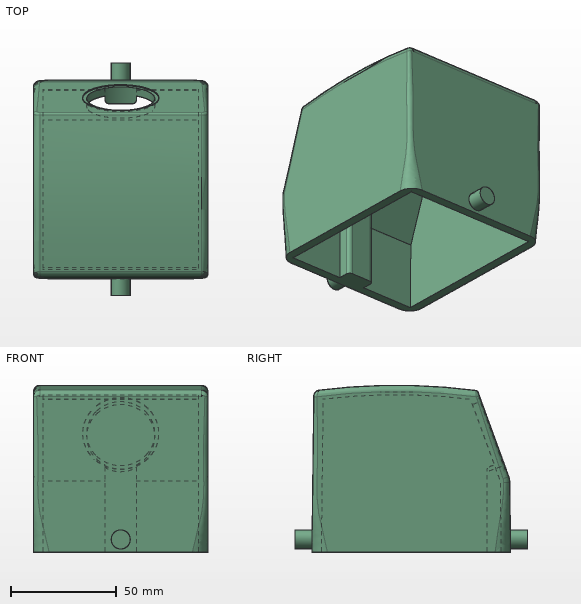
import math

import cadquery as cq

BODY_WIDTH = 82.5
BODY_DEPTH = 94.0
BODY_HEIGHT = 79.0
WALL = 4.5
DRAFT = math.radians(0.7)

ROOF_RADIUS = 290.0
ROOF_CREST_Y = -7.0

KNEE_Z = 34.5
SLOPE = math.radians(20.0)

ROOF_FILLET = 3.0
SLOPE_TOP_FILLET = 1.5
KNEE_FILLET = 8.0
CORNER_RADIUS_TOP = 1.5
CORNER_RADIUS_MID = 2.9
CORNER_RADIUS_RIM = 7.4
CORNER_MID_Z = 20.0
CORNER_RADIUS_UPPER = 2.2
CORNER_UPPER_Z = 45.0

ENTRY_DIAMETER = 32.2
ENTRY_RECESS_DIAMETER = 36.0
ENTRY_RECESS_DEPTH = 0.5
ENTRY_CENTRE_Y = 38.65
ENTRY_CUT_DEPTH = 14.0

PIN_DIAMETER = 9.0
PIN_SPAN = 110.0
PIN_Z = 6.1
PAD_WIDTH = 15.0
PAD_FACE_Y = 35.7
PAD_FILLET = 2.0

CUT_MARGIN = 5.0
TOLERANCE = 0.01
ROOF_ZONE_Z = 70.0
CORNER_SEARCH_STEPS = 20

kernel = cq.occ_impl.shapes


def wall_y(z):
    """Distance of the drafted Y walls from the centre plane at height z."""
    return BODY_DEPTH / 2 - z * math.tan(DRAFT)


def slope_y(z):
    """Y of the sloped face at height z."""
    return wall_y(KNEE_Z) - (z - KNEE_Z) * math.tan(SLOPE)


def slope_z(y):
    """Height of the sloped face at a given Y."""
    return KNEE_Z + (wall_y(KNEE_Z) - y) / math.tan(SLOPE)


def roof_z(y):
    """Height of the crowned roof at a given Y."""
    offset = y - ROOF_CREST_Y
    return BODY_HEIGHT - ROOF_RADIUS + math.sqrt(ROOF_RADIUS**2 - offset**2)


def roof_corner(side_y):
    """Point (y, z) where the roof meets the side given by the function side_y."""
    z = BODY_HEIGHT
    for _ in range(CORNER_SEARCH_STEPS):
        z = roof_z(side_y(z))
    return side_y(z), z


def side_outline(bottom_z):
    """Closed side outline in the YZ plane."""
    front_top = roof_corner(lambda z: -wall_y(z))
    slope_top = roof_corner(slope_y)
    return (
        cq.Workplane("YZ")
        .moveTo(-wall_y(bottom_z), bottom_z)
        .lineTo(wall_y(bottom_z), bottom_z)
        .lineTo(wall_y(KNEE_Z), KNEE_Z)
        .lineTo(*slope_top)
        .threePointArc((ROOF_CREST_Y, BODY_HEIGHT), front_top)
        .close()
    )


def rim_to_roof_law(rising):
    """Corner radius along an edge that is traced upward (rising) or downward."""
    stations = [
        (0.0, CORNER_RADIUS_RIM),
        (CORNER_MID_Z / BODY_HEIGHT, CORNER_RADIUS_MID),
        (CORNER_UPPER_Z / BODY_HEIGHT, CORNER_RADIUS_UPPER),
        (1.0, CORNER_RADIUS_TOP),
    ]
    if not rising:
        stations = [(1.0 - along, radius) for along, radius in reversed(stations)]
    law = kernel.TColgp_HArray1OfPnt2d(1, len(stations))
    for index, station in enumerate(stations, start=1):
        law.SetValue(index, kernel.gp_Pnt2d(*station))
    return law.Array1()


def entry_corner_radius(z):
    """Radius of the +Y corners at the ends of their edges: rim, knee and roof."""
    if z < TOLERANCE:
        return CORNER_RADIUS_RIM
    if z > ROOF_ZONE_Z:
        return CORNER_RADIUS_TOP
    return CORNER_RADIUS_MID


def round_roof_edges(builder, body):
    """Add the four edges around the roof to the fillet builder."""
    roof = body.faces(">Z").val()
    for edge in roof.Edges():
        centre = edge.Center()
        on_slope = edge.geomType() == "LINE" and centre.y > 0
        builder.Add(SLOPE_TOP_FILLET if on_slope else ROOF_FILLET, edge.wrapped)


def round_plain_corners(builder, body):
    """Add the two -Y corners, whose radius shrinks from the rim to the roof."""
    front = body.faces("<Y").val()
    for edge in front.Edges():
        start_z = edge.startPoint().z
        end_z = edge.endPoint().z
        if abs(end_z - start_z) > KNEE_Z:
            builder.Add(rim_to_roof_law(end_z > start_z), edge.wrapped)


def round_entry_corners(builder, body):
    """Add the two +Y corner chains, which run from the rim over the knee to the roof."""
    back = body.faces(">Y").val()
    for edge in back.Edges():
        if abs(edge.endPoint().z - edge.startPoint().z) < TOLERANCE:
            continue
        builder.Add(edge.wrapped)
        contour = builder.Contour(edge.wrapped)
        for index in range(1, builder.NbEdges(contour) + 1):
            for vertex in cq.Edge(builder.Edge(contour, index)).Vertices():
                builder.SetRadius(entry_corner_radius(vertex.Z), contour, vertex.wrapped)


def make_body():
    """Solid hood with all outer edges rounded; the roof and corner edges are blended together."""
    body = side_outline(0).extrude(BODY_WIDTH / 2, both=True)
    knee_edge = cq.selectors.NearestToPointSelector((0, wall_y(KNEE_Z), KNEE_Z))
    body = body.edges(knee_edge).fillet(KNEE_FILLET)
    builder = kernel.BRepFilletAPI_MakeFillet(body.val().wrapped)
    round_roof_edges(builder, body)
    round_plain_corners(builder, body)
    round_entry_corners(builder, body)
    return cq.Workplane(cq.Shape.cast(builder.Shape()))


def make_cavity():
    """Inner space one wall inside the outline, open at the rim."""
    inner_width = BODY_WIDTH - 2 * WALL
    outline = side_outline(-WALL - CUT_MARGIN).offset2D(-WALL)
    return outline.extrude(inner_width / 2, both=True)


def make_pad():
    """Upright pad on the inside of the +Y wall, behind the pin."""
    pad_length = BODY_DEPTH / 2 - PAD_FACE_Y
    return (
        cq.Workplane("XY")
        .center(0, PAD_FACE_Y + pad_length / 2)
        .rect(PAD_WIDTH, pad_length)
        .extrude(BODY_HEIGHT)
        .edges("|Z and (not >Y)")
        .fillet(PAD_FILLET)
    )


def cut_entry(hood):
    """Round cable entry with a shallow recess, square to the sloped face."""
    centre = (0, ENTRY_CENTRE_Y, slope_z(ENTRY_CENTRE_Y))
    outward = (0, math.cos(SLOPE), math.sin(SLOPE))
    face = cq.Workplane(cq.Plane(origin=centre, xDir=(1, 0, 0), normal=outward))
    bore = face.circle(ENTRY_DIAMETER / 2).extrude(-ENTRY_CUT_DEPTH)
    recess = face.circle(ENTRY_RECESS_DIAMETER / 2).extrude(-ENTRY_RECESS_DEPTH)
    return hood.cut(bore).cut(recess)


def make_pin(direction):
    """Locking pin standing out of the wall on the +Y (1) or -Y (-1) side."""
    root_y = BODY_DEPTH / 2 - WALL / 2
    root = (0, direction * root_y, PIN_Z)
    plane = cq.Plane(origin=root, xDir=(1, 0, 0), normal=(0, direction, 0))
    return cq.Workplane(plane).circle(PIN_DIAMETER / 2).extrude(PIN_SPAN / 2 - root_y)


body = make_body()
hood = body.cut(make_cavity()).union(make_pad().intersect(body))
hood = cut_entry(hood)
for direction in (1, -1):
    hood = hood.union(make_pin(direction))

result = hood